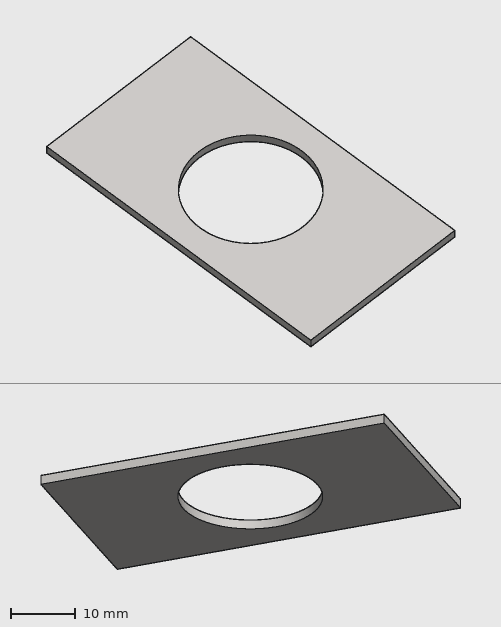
import cadquery as cq

plate_length = 57.15
plate_width = 31.8
plate_thickness = 1.55

hole_diameter = 22.35
hole_offset_x = 0.1
hole_offset_y = -0.1

plate = cq.Workplane("XY").box(plate_length, plate_width, plate_thickness)

result = (
    plate.faces(">Z")
    .workplane()
    .center(hole_offset_x, hole_offset_y)
    .hole(hole_diameter)
)